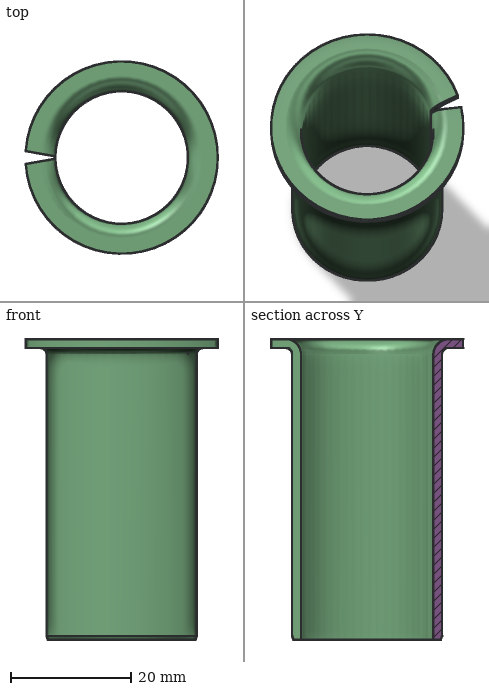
import cadquery as cq
import math

height = 50.0
body_radius = 12.5
wall = 1.5
flange_radius = 16.0
bore_radius = body_radius - wall

outer_bend_radius = 1.0
inner_bend_radius = outer_bend_radius + wall

chamfer_height = 0.7
chamfer_width = 0.25

split_apex_radius = 10.0
split_half_angle = math.radians(10)


def flanged_tube():
    """Revolve the wall section about the Z axis."""
    diagonal = math.sqrt(0.5)
    bend_x = body_radius + outer_bend_radius
    bend_z = height - inner_bend_radius

    def bend_middle(radius):
        return (bend_x - radius * diagonal, bend_z + radius * diagonal)

    section = (
        cq.Workplane("XZ")
        .moveTo(bore_radius, 0)
        .lineTo(body_radius - chamfer_width, 0)
        .lineTo(body_radius, chamfer_height)
        .lineTo(body_radius, bend_z)
        .threePointArc(bend_middle(outer_bend_radius), (bend_x, height - wall))
        .lineTo(flange_radius, height - wall)
        .lineTo(flange_radius, height)
        .lineTo(bend_x, height)
        .threePointArc(bend_middle(inner_bend_radius), (bore_radius, bend_z))
        .close()
    )
    tube = section.revolve(360, (0, 0, 0), (0, 1, 0))
    return tube.rotate((0, 0, 0), (0, 0, 1), 180)


def split_wedge():
    """Full-height wedge that opens the tube wall and flange."""
    wedge_length = flange_radius - split_apex_radius
    half_opening = wedge_length * math.tan(split_half_angle)
    return (
        cq.Workplane("XY")
        .moveTo(-split_apex_radius, 0)
        .lineTo(-flange_radius, half_opening)
        .lineTo(-flange_radius, -half_opening)
        .close()
        .extrude(height)
    )


result = flanged_tube().cut(split_wedge())